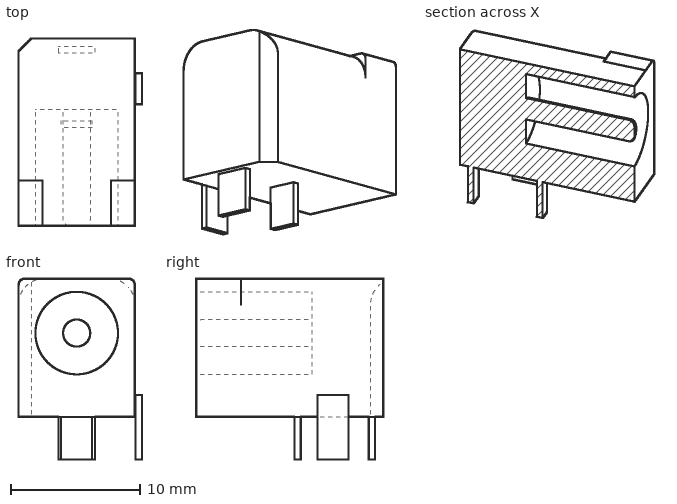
import cadquery as cq

housing_width = 9.0
housing_length = 14.5
housing_height = 10.7
top_edge_radius = 2.0
rear_chamfer = 1.0

corner_block_width = 1.84
corner_block_length = 3.5
corner_block_radius = 0.5

socket_diameter = 6.4
socket_depth = 8.99
socket_drop = 4.22
socket_z = housing_height - socket_drop
contact_diameter = 2.1
contact_tip_radius = 0.5

terminal_thickness = 0.51
terminal_drop = 3.3
front_leg_width = 2.4
front_leg_rear_y = 8.12
rear_leg_width = 2.84
rear_leg_rear_y = 13.86

side_terminal_gap = 0.05
side_terminal_width = 2.4
side_terminal_height = 5.0
side_terminal_rear_y = 11.8


def make_shell():
    """Block with rounded top edges and one chamfered rear corner."""
    shell = (
        cq.Workplane("XY")
        .box(housing_width, housing_length, housing_height, centered=(True, False, False))
        .edges("|Z and >Y and <X")
        .chamfer(rear_chamfer)
    )
    rounded_profile = (
        cq.Workplane("XZ")
        .rect(housing_width, 2 * housing_height)
        .extrude(-housing_length)
        .edges("|Y and >Z")
        .fillet(top_edge_radius)
    )
    return shell.intersect(rounded_profile)


def make_corner_block(side):
    """Front corner block; side is -1 for the -X corner and +1 for the +X corner."""
    outer_edge = ">X" if side > 0 else "<X"
    block_x = side * (housing_width - corner_block_width) / 2
    return (
        cq.Workplane("XY")
        .box(corner_block_width, corner_block_length, top_edge_radius, centered=(True, False, False))
        .edges("|Y and >Z")
        .edges(outer_edge)
        .fillet(corner_block_radius)
        .translate((block_x, 0, housing_height - top_edge_radius))
    )


def make_socket_cylinder(diameter):
    """Cylinder on the socket axis, from the front face to the socket floor."""
    return (
        cq.Workplane("XZ")
        .center(0, socket_z)
        .circle(diameter / 2)
        .extrude(-socket_depth)
    )


def make_leg(width, rear_y):
    """Flat leg hanging from the underside, centred across the housing."""
    return cq.Workplane("XY").box(
        width, terminal_thickness, terminal_drop, centered=(True, False, False)
    ).translate((0, rear_y - terminal_thickness, -terminal_drop))


def make_housing():
    """Housing with its corner blocks, socket, centre contact and two legs."""
    housing = make_shell()
    for side in (-1, 1):
        housing = housing.union(make_corner_block(side))
    contact = make_socket_cylinder(contact_diameter).faces("<Y").edges().fillet(contact_tip_radius)
    housing = housing.cut(make_socket_cylinder(socket_diameter)).union(contact)
    for width, rear_y in ((front_leg_width, front_leg_rear_y), (rear_leg_width, rear_leg_rear_y)):
        housing = housing.union(make_leg(width, rear_y))
    return housing


def make_side_terminal():
    """Flat plate standing just clear of the +X side."""
    inner_x = housing_width / 2 + side_terminal_gap
    return (
        cq.Workplane("XY")
        .box(terminal_thickness, side_terminal_width, side_terminal_height, centered=False)
        .translate((inner_x, side_terminal_rear_y - side_terminal_width, -terminal_drop))
    )


housing = make_housing()
side_terminal = make_side_terminal()
result = cq.Compound.makeCompound([housing.val(), side_terminal.val()])